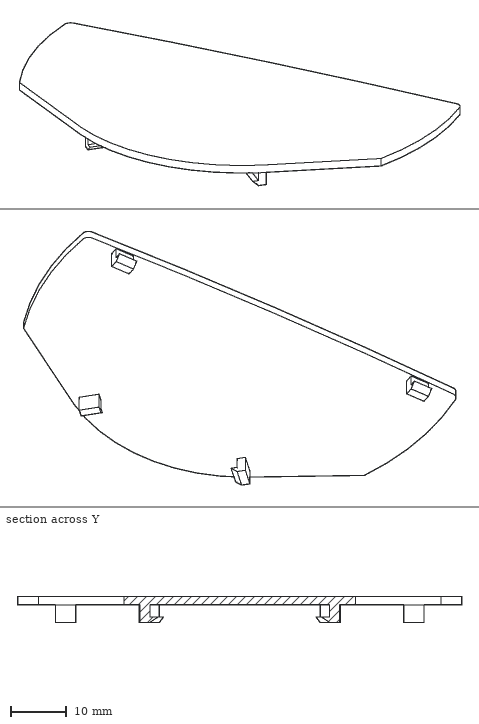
import cadquery as cq

plate_thickness = 1.5
total_height = 4.7
plate_depth = 44.45
half_width = 40.0
widest_y = -8.3
back_corner = (39.4, -0.8)
back_corner_radius = 1.3
side_corner = (36.2, -27.35)
nose_start = (18.0, -39.35)

hook_width = 3.7
hook_thickness = 1.5
barb_reach = 1.1
barb_height = 1.0
back_hook_offset = 31.35
back_barb_overhang = 0.3
back_hook_center = (back_hook_offset, back_barb_overhang - barb_reach - hook_thickness / 2)
front_hook_center = (16.3, -36.55)
front_hook_turn = 45.0


def mirrored(point):
    return (-point[0], point[1])


def make_plate():
    """Bowed back edge, curved sides, straight slants and a round front nose."""
    outline = (
        cq.Workplane("XY")
        .moveTo(*mirrored(back_corner))
        .threePointArc((0, 0), back_corner)
        .threePointArc((half_width, widest_y), side_corner)
        .lineTo(*nose_start)
        .threePointArc((0, -plate_depth), mirrored(nose_start))
        .lineTo(*mirrored(side_corner))
        .threePointArc((-half_width, widest_y), mirrored(back_corner))
        .close()
    )
    plate = outline.extrude(-plate_thickness)
    return plate.edges("|Z").edges(">Y").fillet(back_corner_radius)


def make_hook(center, angle):
    """Flat post with a barb along its outer face, facing +Y before turning by angle."""
    outer = hook_thickness / 2
    barb_z = barb_height - total_height
    hook = (
        cq.Workplane("YZ")
        .moveTo(-outer, -plate_thickness)
        .lineTo(outer, -plate_thickness)
        .lineTo(outer, barb_z)
        .lineTo(outer + barb_reach, barb_z)
        .lineTo(outer, -total_height)
        .lineTo(-outer, -total_height)
        .close()
        .extrude(hook_width / 2, both=True)
    )
    return hook.rotate((0, 0, 0), (0, 0, 1), angle).translate((*center, 0))


result = make_plate()

for hook in (
    make_hook(back_hook_center, 0),
    make_hook(mirrored(back_hook_center), 0),
    make_hook(front_hook_center, 180 - front_hook_turn),
    make_hook(mirrored(front_hook_center), 180 + front_hook_turn),
):
    result = result.union(hook)